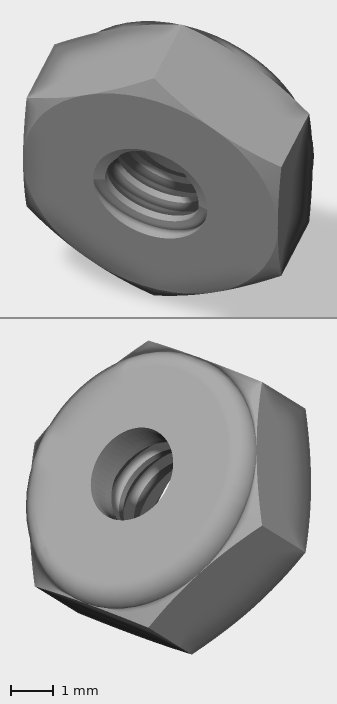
import cadquery as cq
import math

corner_span = 7.33
flat_span = corner_span * math.cos(math.radians(30))
flat_radius = flat_span / 2
corner_radius = corner_span / 2
nut_length = 2.78
hex_length = 2.315
corner_bevel = 0.235
collar_rounding = nut_length - hex_length

bore_radius = 1.165
thread_radius = 1.42
countersink_depth = 0.095
thread_pitch = 0.64
groove_mouth = 0.45
groove_root = 0.27
groove_tilt = 13.5
first_groove = -0.15
groove_count = 4
run_out_width = 0.15

insert_start = 1.905
insert_outer_radius = 2.2
insert_bore_radius = 1.15
insert_length = nut_length - insert_start


def revolve_about_y(profile):
    """Close a (radius, Y) profile and turn it around the Y axis."""
    return profile.close().revolve(360, (0, 0, 0), (0, 1, 0))


def disc(radius, start, length):
    """Cylinder along +Y starting at the given Y."""
    return cq.Workplane("XZ", origin=(0, start, 0)).circle(radius).extrude(-length)


def make_hex_blank():
    """Hexagonal prism with a corner up and both ends bevelled conically."""
    prism = (
        cq.Workplane("XZ")
        .polygon(6, corner_span)
        .extrude(-hex_length)
        .rotate((0, 0, 0), (0, 1, 0), 30)
    )
    bevel_envelope = revolve_about_y(
        cq.Workplane("XY")
        .lineTo(flat_radius, 0)
        .lineTo(corner_radius, corner_bevel)
        .lineTo(corner_radius, hex_length - corner_bevel)
        .lineTo(flat_radius, hex_length)
        .lineTo(0, hex_length)
    )
    return prism.intersect(bevel_envelope)


def make_collar():
    """Round rear collar with its outer rim rolled over by a quarter circle."""
    rim_radius = flat_radius - collar_rounding
    arc_reach = collar_rounding * math.sqrt(0.5)
    return revolve_about_y(
        cq.Workplane("XY", origin=(0, hex_length, 0))
        .lineTo(flat_radius, 0)
        .threePointArc((rim_radius + arc_reach, arc_reach), (rim_radius, collar_rounding))
        .lineTo(0, collar_rounding)
    )


def make_countersink():
    """Conical entry widening to the thread diameter at the front face."""
    return revolve_about_y(
        cq.Workplane("XY")
        .lineTo(thread_radius, 0)
        .lineTo(bore_radius, countersink_depth)
        .lineTo(0, countersink_depth)
    )


def make_thread_groove(centre, front_widening):
    """Closed trapezoidal groove, tilted about X so its lower side lies deeper."""
    flank_slope = (groove_mouth - groove_root) / (2 * (thread_radius - bore_radius))
    overrun = thread_radius - bore_radius
    inner_radius = bore_radius - overrun
    outer_radius = thread_radius + overrun
    inner_half_width = groove_mouth / 2 + flank_slope * overrun
    outer_half_width = groove_root / 2 - flank_slope * overrun
    ring = revolve_about_y(
        cq.Workplane("XY")
        .moveTo(inner_radius, -inner_half_width - front_widening)
        .lineTo(outer_radius, -outer_half_width - front_widening)
        .lineTo(outer_radius, outer_half_width)
        .lineTo(inner_radius, inner_half_width)
    )
    tilted_ring = ring.rotate((0, 0, 0), (1, 0, 0), groove_tilt).translate((0, centre, 0))
    return tilted_ring.intersect(disc(thread_radius, 0, nut_length))


def make_nut():
    nut = make_hex_blank().union(make_collar())
    nut = nut.cut(disc(bore_radius, 0, nut_length))
    nut = nut.cut(make_countersink())
    for index in range(groove_count):
        front_widening = run_out_width if index == 0 else 0
        nut = nut.cut(make_thread_groove(first_groove + index * thread_pitch, front_widening))
    return nut.cut(disc(insert_outer_radius, insert_start, insert_length))


def make_locking_insert():
    ring = disc(insert_outer_radius, insert_start, insert_length)
    return ring.cut(disc(insert_bore_radius, insert_start, insert_length))


nut = make_nut()
locking_insert = make_locking_insert()
result = cq.Compound.makeCompound([nut.solids().val(), locking_insert.solids().val()])